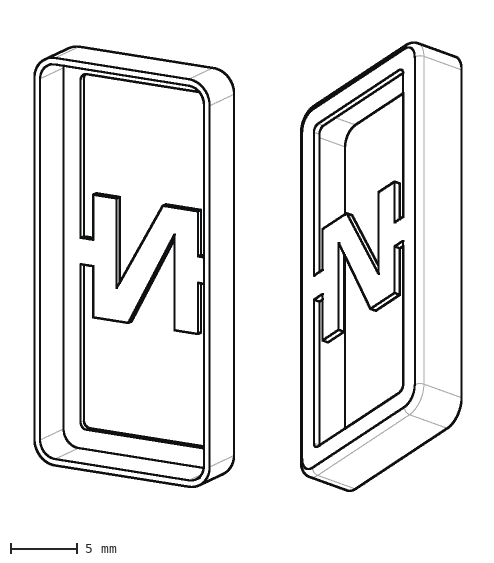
import cadquery as cq

WIDTH = 15.2
DEPTH = 4.0
HEIGHT = 31.7
WALL = 0.5
CORNER_RADIUS = 1.8
BACK_ROUNDING = 0.48

PLATE_THICKNESS = 0.5
WINDOW_WIDTH = 11.22
WINDOW_HEIGHT = 27.65
WINDOW_RADIUS = 0.5
BRIDGE_HEIGHT = 2.05

LETTER_WIDTH = 9.07
LETTER_TOP = 4.53
LETTER_BOTTOM = -5.0
STEM_WIDTH = 2.03
DIAGONAL_END = 1.5
NOTCH_TIP = 2.45

BACK = DEPTH / 2
PLATE_FRONT = BACK - PLATE_THICKNESS
INNER_WIDTH = WIDTH - 2 * WALL
INNER_HEIGHT = HEIGHT - 2 * WALL
INNER_RADIUS = CORNER_RADIUS - WALL


def plane_at(y):
    """Sketch plane at the given Y, with X right, Z up; negative extrusion runs toward +Y."""
    return cq.Workplane("XZ", origin=(0, y, 0))


def rounded_block(width, height, radius, front):
    """Rounded rectangle running from the given Y to the back of the part."""
    block = plane_at(front).rect(width, height).extrude(front - BACK)
    return block.edges("|Y").fillet(radius)


def make_rim():
    outside = rounded_block(WIDTH, HEIGHT, CORNER_RADIUS, -BACK)
    outside = outside.faces(">Y").edges().fillet(BACK_ROUNDING)
    opening = rounded_block(INNER_WIDTH, INNER_HEIGHT, INNER_RADIUS, -BACK)
    return outside.cut(opening)


def make_letter():
    outer = LETTER_WIDTH / 2
    inner = outer - STEM_WIDTH
    outline = [
        (-outer, LETTER_BOTTOM),
        (-DIAGONAL_END, LETTER_BOTTOM),
        (inner, NOTCH_TIP),
        (inner, LETTER_BOTTOM),
        (outer, LETTER_BOTTOM),
        (outer, LETTER_TOP),
        (DIAGONAL_END, LETTER_TOP),
        (-inner, -NOTCH_TIP),
        (-inner, LETTER_TOP),
        (-outer, LETTER_TOP),
    ]
    return plane_at(PLATE_FRONT).polyline(outline).close().extrude(-PLATE_THICKNESS)


def make_bridge(side):
    """Bar joining the letter to the frame; side is -1 (left) or 1 (right)."""
    stem_middle = (LETTER_WIDTH - STEM_WIDTH) / 2
    frame_middle = (WINDOW_WIDTH + INNER_WIDTH) / 4
    length = frame_middle - stem_middle
    centre = side * (frame_middle + stem_middle) / 2
    return plane_at(PLATE_FRONT).center(centre, 0).rect(length, BRIDGE_HEIGHT).extrude(-PLATE_THICKNESS)


def make_plate():
    plate = rounded_block(INNER_WIDTH, INNER_HEIGHT, INNER_RADIUS, PLATE_FRONT)
    window = rounded_block(WINDOW_WIDTH, WINDOW_HEIGHT, WINDOW_RADIUS, PLATE_FRONT)
    plate = plate.cut(window).union(make_letter())
    for side in (-1, 1):
        plate = plate.union(make_bridge(side))
    return plate


rim = make_rim()
plate = make_plate()

result = cq.Compound.makeCompound([rim.val(), plate.val()])